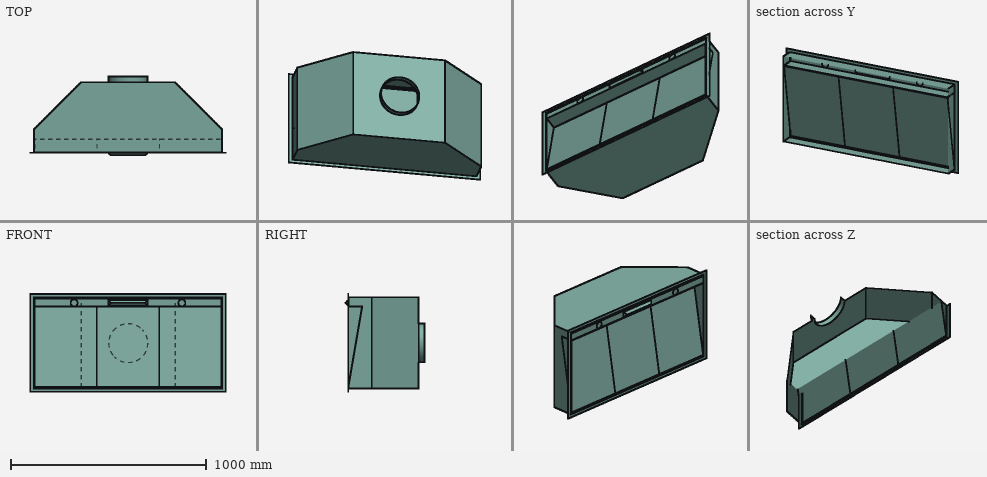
import cadquery as cq
import math


flange_width = 1000.0
flange_height = 500.0
opening_width = 950.0
opening_height = 448.0

shell_width = 960.0
shell_height = 466.0
shell_depth = 360.0
back_width = 480.0
sheet = 1.0
side_depth = shell_depth - (shell_width - back_width) / 2

duct_diameter = 200.0
duct_length = 30.0

strip_height = 40.0
strip_sheet = 2.0
strip_bottom = opening_height / 2 - strip_height
strip_middle = strip_bottom + strip_height / 2

lamp_diameter = 36.0
lamp_spacing = 550.0
lamp_recess = 1.0

handle_length = 202.0
handle_height = 28.0
handle_depth = handle_height / 2

filter_count = 3
filter_width = opening_width / filter_count
filter_setback = 70.0
filter_thickness = 2.0
shelf_depth = filter_setback + filter_thickness


def front_plate(width, height, thickness, z=0):
    """Upright plate with its front face at Y = 0."""
    plate = cq.Workplane("XY").box(width, thickness, height, centered=(True, False, True))
    return plate.translate((0, 0, z))


def plan_prism(half_front, half_back, front, side_end, back, height):
    """Upright prism with the six-sided plan of the hood."""
    return (
        cq.Workplane("XY", origin=(0, 0, -height / 2))
        .polyline([
            (-half_front, front),
            (half_front, front),
            (half_front, side_end),
            (half_back, back),
            (-half_back, back),
            (-half_front, side_end),
        ])
        .close()
        .extrude(height)
    )


def side_profile(points, width):
    """Prism along X, centred on X = 0, from (Y, Z) points."""
    return cq.Workplane("YZ").polyline(points).close().extrude(width / 2, both=True)


def make_shell():
    """Sheet-metal box with the front flange and its opening."""
    corner_shift = sheet * math.tan(math.radians(45) / 2)
    outside = plan_prism(shell_width / 2, back_width / 2, 0, side_depth, shell_depth, shell_height)
    inside = plan_prism(
        shell_width / 2 - sheet,
        back_width / 2 - corner_shift,
        sheet,
        side_depth - corner_shift,
        shell_depth - sheet,
        shell_height - 2 * sheet,
    )
    flange = front_plate(flange_width, flange_height, sheet)
    opening = front_plate(opening_width, opening_height, sheet)
    return outside.union(flange).cut(inside).cut(opening)


def add_duct(shell):
    """Open thin-walled tube that leads out through the back wall."""
    tube = cq.Workplane("XZ", origin=(0, shell_depth, 0)).circle(duct_diameter / 2).extrude(-duct_length)
    bore = (
        cq.Workplane("XZ", origin=(0, shell_depth - sheet, 0))
        .circle(duct_diameter / 2 - sheet)
        .extrude(-(duct_length + sheet))
    )
    return shell.union(tube).cut(bore)


def make_strip():
    """Folded strip: an upright face and a shelf above the filters, with two lamp recesses."""
    shelf_top = strip_bottom + strip_sheet
    strip = side_profile(
        [
            (0, strip_bottom),
            (shelf_depth, strip_bottom),
            (shelf_depth, shelf_top),
            (strip_sheet, shelf_top),
            (strip_sheet, opening_height / 2),
            (0, opening_height / 2),
        ],
        opening_width,
    )
    lamps = (
        cq.Workplane("XZ", origin=(0, 0, strip_middle))
        .pushPoints([(-lamp_spacing / 2, 0), (lamp_spacing / 2, 0)])
        .circle(lamp_diameter / 2)
        .extrude(-lamp_recess)
    )
    return strip.cut(lamps)


def make_handle():
    """Triangular bar on the strip, with both ends sloped at the same angle as its sides."""
    bar = side_profile(
        [
            (0, strip_middle - handle_height / 2),
            (-handle_depth, strip_middle),
            (0, strip_middle + handle_height / 2),
        ],
        handle_length,
    )
    half_base = handle_length / 2
    half_ridge = half_base - handle_depth
    sloped_ends = (
        cq.Workplane("XY", origin=(0, 0, strip_bottom))
        .polyline([
            (-half_base, 0),
            (-half_ridge, -handle_depth),
            (half_ridge, -handle_depth),
            (half_base, 0),
        ])
        .close()
        .extrude(strip_height)
    )
    return bar.intersect(sloped_ends)


def make_filter(x):
    """Tilted plate from the lower edge of the opening up to the shelf."""
    bottom = -opening_height / 2
    plate = side_profile(
        [
            (0, bottom),
            (filter_thickness, bottom),
            (filter_setback + filter_thickness, strip_bottom),
            (filter_setback, strip_bottom),
        ],
        filter_width,
    )
    return plate.translate((x, 0, 0))


hood = add_duct(make_shell()).union(make_strip()).union(make_handle())

filters = []
for index in range(filter_count):
    offset_from_middle = index - (filter_count - 1) / 2
    filters.append(make_filter(offset_from_middle * filter_width))

result = cq.Compound.makeCompound([hood.val(), *[plate.val() for plate in filters]])